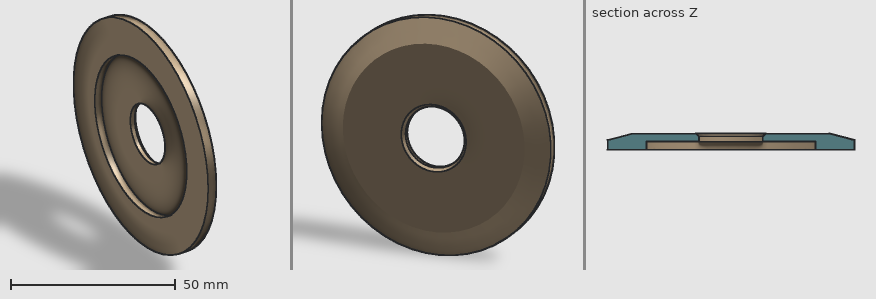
import cadquery as cq

outer_diameter = 75.0
back_diameter = 59.5
thickness = 5.0
rim_thickness = 3.0
recess_diameter = 51.2
recess_depth = 2.5
bore_diameter = 19.3
bore_mouth_diameter = 21.2

front_y = -thickness / 2
rim_y = front_y + rim_thickness
back_y = front_y + thickness
recess_floor_y = front_y + recess_depth
bore_chamfer = (bore_mouth_diameter - bore_diameter) / 2

section = (
    cq.Workplane("XY")
    .moveTo(bore_diameter / 2, recess_floor_y)
    .lineTo(recess_diameter / 2, recess_floor_y)
    .lineTo(recess_diameter / 2, front_y)
    .lineTo(outer_diameter / 2, front_y)
    .lineTo(outer_diameter / 2, rim_y)
    .lineTo(back_diameter / 2, back_y)
    .lineTo(bore_mouth_diameter / 2, back_y)
    .lineTo(bore_diameter / 2, back_y - bore_chamfer)
    .close()
)

result = section.revolve(360, (0, 0, 0), (0, 1, 0))